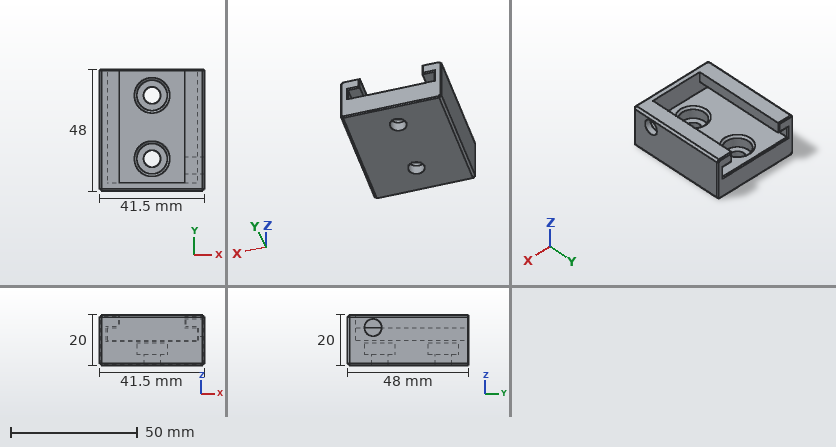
import cadquery as cq

WIDTH = 41.5
LENGTH = 48.0
HEIGHT = 20.0
EDGE_CHAMFER = 1.0
OPEN_END_CHAMFER = 0.5

LIP_HEIGHT = 5.0
UNDERCUT_HEIGHT = 5.0
SIDE_WALL = 3.0
END_WALL = 3.2
SLOT_WIDTH = 25.75

SCREW_DIAMETER = 6.6
HEAD_DIAMETER = 12.0
HEAD_DEPTH = 5.5
HEAD_CHAMFER = 1.0
SCREW_SPACING = 25.0
SCREW_MIDPOINT_Y = 1.25

CLAMP_DIAMETER = 6.8
CLAMP_FROM_END_WALL = 7.0

TOP_Z = HEIGHT / 2
OPEN_END_Y = LENGTH / 2
LIP_BOTTOM_Z = TOP_Z - LIP_HEIGHT
FLOOR_Z = LIP_BOTTOM_Z - UNDERCUT_HEIGHT
UNDERCUT_WIDTH = WIDTH - 2 * SIDE_WALL
SLOT_END_Y = -LENGTH / 2 + END_WALL
SLOT_LENGTH = OPEN_END_Y - SLOT_END_Y


def make_block():
    """Block chamfered on every edge except those of the open +Y end."""
    block = cq.Workplane("XY").box(WIDTH, LENGTH, HEIGHT)
    return block.edges("|Y or <Y").chamfer(EDGE_CHAMFER)


def slot_layer(width, bottom_z, height):
    """One rectangular layer of the T-slot, from the end wall to the open end."""
    return (
        cq.Workplane("XY", origin=(0, SLOT_END_Y, bottom_z))
        .box(width, SLOT_LENGTH, height, centered=(True, False, False))
    )


def screw_hole(y):
    """Through hole with a counterbore chamfered at the slot floor."""
    floor = cq.Workplane("XY", origin=(0, y, FLOOR_Z))
    shank = floor.circle(SCREW_DIAMETER / 2).extrude(-HEIGHT)
    head = floor.circle(HEAD_DIAMETER / 2).extrude(-HEAD_DEPTH)
    mouth = (
        floor.circle(HEAD_DIAMETER / 2 + HEAD_CHAMFER)
        .workplane(offset=-HEAD_CHAMFER)
        .circle(HEAD_DIAMETER / 2)
        .loft(ruled=True)
    )
    return shank.union(head).union(mouth)


def clamp_hole():
    """Cross hole from the slot centre through the +X wall, level with the underside of the lip."""
    centre = (0, SLOT_END_Y + CLAMP_FROM_END_WALL, LIP_BOTTOM_Z)
    return cq.Workplane("YZ", origin=centre).circle(CLAMP_DIAMETER / 2).extrude(WIDTH)


result = make_block()
result = result.cut(slot_layer(SLOT_WIDTH, LIP_BOTTOM_Z, LIP_HEIGHT))
result = result.cut(slot_layer(UNDERCUT_WIDTH, FLOOR_Z, UNDERCUT_HEIGHT))

result = result.faces(">Y").edges().chamfer(OPEN_END_CHAMFER)

for side in (-1, 1):
    result = result.cut(screw_hole(SCREW_MIDPOINT_Y + side * SCREW_SPACING / 2))
result = result.cut(clamp_hole())